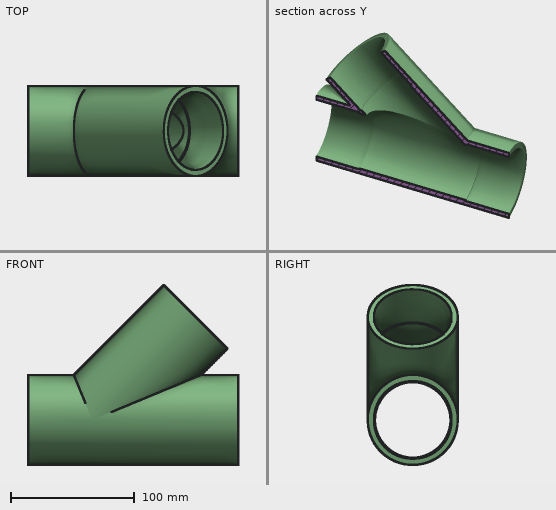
import cadquery as cq


OUTER_DIAMETER = 73.0
SOCKET_DIAMETER = 63.0
BORE_DIAMETER = 61.0
SOCKET_DEPTH = 38.0

RUN_LENGTH = 170.0
INLET_LENGTH = 52.0
OUTLET_LENGTH = RUN_LENGTH - INLET_LENGTH
BRANCH_LENGTH = OUTLET_LENGTH
BRANCH_ANGLE = 45.0

ARMS = [
    (INLET_LENGTH, 180.0),
    (OUTLET_LENGTH, 0.0),
    (BRANCH_LENGTH, BRANCH_ANGLE),
]


def cylinder_along_arm(diameter, start, end, angle):
    """Cylinder between two distances from the axis crossing, along an arm."""
    rod = cq.Workplane("YZ").workplane(offset=start).circle(diameter / 2).extrude(end - start)
    return rod.rotate((0, 0, 0), (0, 1, 0), -angle)


def join(solids):
    """Union of a list of solids."""
    joined = solids[0]
    for solid in solids[1:]:
        joined = joined.union(solid)
    return joined


def run_cylinder(diameter):
    """Cylinder over the full length of the run."""
    return cylinder_along_arm(diameter, -INLET_LENGTH, OUTLET_LENGTH, 0.0)


def branch_cylinder(diameter):
    """Cylinder from the axis crossing to the branch end."""
    return cylinder_along_arm(diameter, 0.0, BRANCH_LENGTH, BRANCH_ANGLE)


def wye(diameter):
    """Run and branch of one diameter, joined."""
    return join([run_cylinder(diameter), branch_cylinder(diameter)])


def sockets():
    """Counterbore in each open end, leaving a stop shoulder at its bottom."""
    return join([
        cylinder_along_arm(SOCKET_DIAMETER, length - SOCKET_DEPTH, length, angle)
        for length, angle in ARMS
    ])


result = wye(OUTER_DIAMETER).cut(wye(BORE_DIAMETER)).cut(sockets())